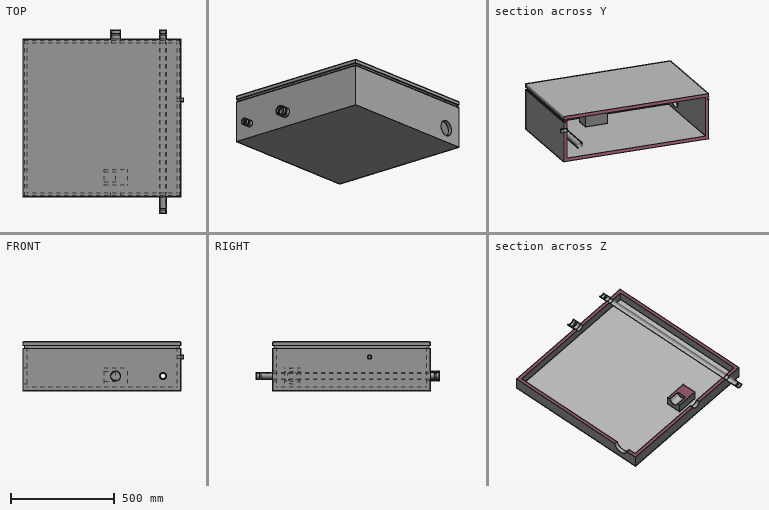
import cadquery as cq

side = 762.0
height = 236.98
length_over_pipes = 884.68
wall = 19.05
gasket_height = 12.7
gasket_inset = 6.35
lid_rounding = 6.35
half_side = side / 2
inner_face = half_side - wall
lid_bottom = height - wall
body_height = lid_bottom - gasket_height

pipe_height = 71.4
front_length = 79.5
back_length = length_over_pipes - side - front_length
front_end = -half_side - front_length
back_end = half_side + back_length

groove_setback = 15.88
groove_width = 7.94
front_groove_start = front_end + groove_setback
back_groove_start = back_end - groove_setback - groove_width

small_pipe_outer = 33.4
small_pipe_inner = 26.67
small_pipe_groove = 30.2
small_pipe_from_right = 86.5
small_pipe_x = half_side - small_pipe_from_right

large_pipe_outer = 48.26
large_pipe_inner = 40.89
large_pipe_groove = 45.06
large_pipe_from_right = 315.0
large_pipe_x = half_side - large_pipe_from_right

nipple_outer = 21.34
nipple_inner = 15.75
nipple_length = 12.7
nipple_from_back = 294.0
nipple_y = half_side - nipple_from_back
nipple_height = 163.0
nipple_end = half_side + nipple_length

front_opening = 48.26
side_opening = 76.2
side_opening_from_front = 95.25
side_opening_y = side_opening_from_front - half_side

block_length = 114.3
block_width = side_opening
block_left = large_pipe_x - block_length / 2
block_front = side_opening_y - block_width / 2
block_height = pipe_height + side_opening / 2 - wall
block_bore = 48.26
block_bore_height = 69.85
block_bore_depth = block_length / 2


def square_plate(size, bottom, thickness):
    plate = cq.Workplane("XY").box(size, size, thickness, centered=(True, True, False))
    return plate.translate((0, 0, bottom))


def cylinder_along_y(diameter, x, y_start, y_end):
    axis_start = cq.Vector(x, y_start, pipe_height)
    return cq.Workplane(cq.Solid.makeCylinder(diameter / 2, y_end - y_start, axis_start, cq.Vector(0, 1, 0)))


def cylinder_along_x(diameter, y, z, x_start, x_end):
    axis_start = cq.Vector(x_start, y, z)
    return cq.Workplane(cq.Solid.makeCylinder(diameter / 2, x_end - x_start, axis_start, cq.Vector(1, 0, 0)))


def hollow_enclosure():
    body = square_plate(side, 0, body_height)
    gasket = square_plate(side - 2 * gasket_inset, body_height, gasket_height)
    lid = square_plate(side, lid_bottom, wall).faces(">Z").edges().fillet(lid_rounding)
    cavity = square_plate(2 * inner_face, wall, lid_bottom - wall)
    return body.union(gasket).union(lid).cut(cavity)


def bored_block():
    block = cq.Workplane("XY").box(block_length, block_width, block_height, centered=False)
    block = block.translate((block_left, block_front, wall))
    bore_end = block_left + block_bore_depth
    return block.cut(cylinder_along_x(block_bore, side_opening_y, block_bore_height, block_left, bore_end))


def cut_wall_openings(part):
    front_hole = cylinder_along_y(front_opening, large_pipe_x, -half_side, -inner_face)
    side_hole = cylinder_along_x(side_opening, side_opening_y, pipe_height, -half_side, -inner_face)
    return part.cut(front_hole).cut(side_hole)


def add_grooved_pipe(part, outer, inner, groove, x, y_start, y_end, groove_starts):
    pipe = cylinder_along_y(outer, x, y_start, y_end)
    for groove_start in groove_starts:
        groove_end = groove_start + groove_width
        pipe = pipe.cut(cylinder_along_y(outer, x, groove_start, groove_end))
        pipe = pipe.union(cylinder_along_y(groove, x, groove_start, groove_end))
    return part.union(pipe).cut(cylinder_along_y(inner, x, y_start, y_end))


def add_small_pipe(part):
    """Runs straight through the enclosure and is grooved at both ends."""
    groove_starts = (front_groove_start, back_groove_start)
    return add_grooved_pipe(
        part, small_pipe_outer, small_pipe_inner, small_pipe_groove,
        small_pipe_x, front_end, back_end, groove_starts,
    )


def add_large_pipe(part):
    """Leaves the cavity through the +Y wall, opposite the front opening."""
    return add_grooved_pipe(
        part, large_pipe_outer, large_pipe_inner, large_pipe_groove,
        large_pipe_x, inner_face, back_end, (back_groove_start,),
    )


def add_nipple(part):
    """Leaves the cavity through the +X wall."""
    tube = cylinder_along_x(nipple_outer, nipple_y, nipple_height, inner_face, nipple_end)
    passage = cylinder_along_x(nipple_inner, nipple_y, nipple_height, inner_face, nipple_end)
    return part.union(tube).cut(passage)


result = hollow_enclosure().union(bored_block())
result = cut_wall_openings(result)
result = add_small_pipe(result)
result = add_large_pipe(result)
result = add_nipple(result)